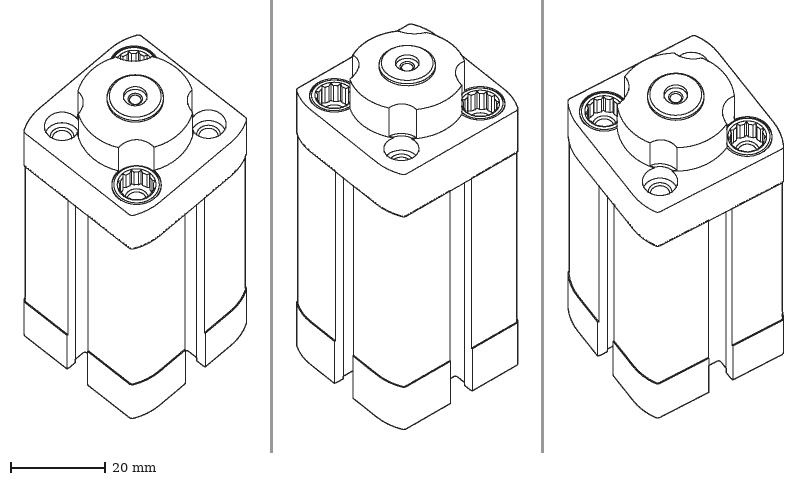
import cadquery as cq
import math

WIDTH = 35.5
TOTAL_HEIGHT = 84.0

END_CAP_HEIGHT = 12.2
CAP_TOP = 73.5
UPPER_CAP_BOTTOM = CAP_TOP - END_CAP_HEIGHT
TUBE_HEIGHT = UPPER_CAP_BOTTOM - END_CAP_HEIGHT

CORNER_ARC_START = 10.9
CORNER_ARC_RADIUS = 13.4
CORNER_FILLET = 1.0
TUBE_INSET = 0.25

GROOVE_NECK_WIDTH = 5.8
GROOVE_MOUTH_WIDTH = 6.05
GROOVE_MOUTH_DEPTH = 0.7
GROOVE_NECK_DEPTH = 2.4
GROOVE_UNDERCUT_WIDTH = 7.0
GROOVE_DEPTH = 6.0
GROOVE_FLOOR_FILLET = 0.6

BOSS_DIAMETER = 25.0
BOSS_FLAT_DIAMETER = 17.5
BOSS_TOP = 82.9
BOSS_BEVEL_HEIGHT = 1.0

HOLE_OFFSET = 11.0
HOLE_DIAMETER = 4.1
HOLE_MOUTH_DIAMETER = 5.0
PLAIN_CORNERS = [(-1, -1), (1, 1)]
SOCKET_CORNERS = [(-1, 1), (1, -1)]

COUNTERBORE_DIAMETER = 7.5
COUNTERBORE_DEPTH = 3.9
PLAIN_SCALLOP_DIAMETER = 9.0
PLAIN_SCALLOP_LEDGE = 0.25

SOCKET_RING_DIAMETER = 10.5
SOCKET_RING_BEVEL = 0.4
SOCKET_BORE_DIAMETER = 7.2
SOCKET_TIP_DIAMETER = 8.1
SOCKET_MOUTH_DIAMETER = 8.2
SOCKET_POINTS = 12
SOCKET_DEPTH = 5.0

ROD_DIAMETER = 12.0
ROD_CHAMFER = 0.5
ROD_BOTTOM = UPPER_CAP_BOTTOM
ROD_RECESS_DIAMETER = 5.0
ROD_RECESS_DEPTH = 1.0
ROD_HOLE_DIAMETER = 2.4
ROD_HOLE_MOUTH_DIAMETER = 3.0
ROD_HOLE_DEPTH = 6.7
DRILL_POINT_ANGLE = 118.0


def cylinder(diameter, bottom, top, x=0.0, y=0.0):
    """Upright cylinder between two heights."""
    return cq.Workplane("XY", origin=(x, y, bottom)).circle(diameter / 2).extrude(top - bottom)


def cone(bottom_diameter, top_diameter, bottom, top, x=0.0, y=0.0):
    """Upright truncated cone between two heights; either diameter may be zero."""
    bottom_radius = bottom_diameter / 2
    top_radius = top_diameter / 2
    solid = cq.Solid.makeCone(bottom_radius, top_radius, top - bottom, cq.Vector(x, y, bottom))
    return cq.Workplane(obj=solid)


def countersink(mouth_diameter, bore_diameter, top, x, y):
    """45 degree cone opening a bore whose mouth is at the given height."""
    depth = (mouth_diameter - bore_diameter) / 2
    return cone(bore_diameter, mouth_diameter, top - depth, top, x, y)


def body_section(inset, bottom, height):
    """Prism with flat sides and large rounded corners, drawn in by the inset."""
    half = WIDTH / 2 - inset
    radius = CORNER_ARC_RADIUS - inset
    arc_centre = half - radius
    start = CORNER_ARC_START

    def on_arc(angle):
        return arc_centre + radius * math.cos(angle), start + radius * math.sin(angle)

    end_angle = math.asin((half - start) / radius)
    middle_x, middle_y = on_arc(end_angle / 2)
    end_x, end_y = on_arc(end_angle)
    outline = (
        cq.Workplane("XY", origin=(0, 0, bottom))
        .moveTo(half, -start)
        .lineTo(half, start)
        .threePointArc((middle_x, middle_y), (end_x, end_y))
        .lineTo(-end_x, end_y)
        .threePointArc((-middle_x, middle_y), (-half, start))
        .lineTo(-half, -start)
        .threePointArc((-middle_x, -middle_y), (-end_x, -end_y))
        .lineTo(end_x, -end_y)
        .threePointArc((middle_x, -middle_y), (half, -start))
        .close()
    )
    prism = outline.extrude(height)
    return prism.edges("|Z").edges("<Y or >Y").fillet(CORNER_FILLET - inset)


def sensor_groove(angle):
    """T-shaped groove running up one side to the underside of the upper cap."""
    face = WIDTH / 2
    mouth = GROOVE_MOUTH_WIDTH / 2
    neck = GROOVE_NECK_WIDTH / 2
    undercut = GROOVE_UNDERCUT_WIDTH / 2
    floor = face - GROOVE_DEPTH
    half_profile = [
        (face, mouth),
        (face - GROOVE_MOUTH_DEPTH, neck),
        (face - GROOVE_NECK_DEPTH, neck),
        (face - GROOVE_NECK_DEPTH, undercut),
        (floor, undercut),
    ]
    mirrored_half = [(x, -y) for x, y in reversed(half_profile)]
    groove = cq.Workplane("XY").polyline(half_profile + mirrored_half).close().extrude(UPPER_CAP_BOTTOM)
    groove = groove.edges("|Z and <X").fillet(GROOVE_FLOOR_FILLET)
    return groove.rotate((0, 0, 0), (0, 0, 1), angle)


def guide_boss():
    """Round boss on the upper cap with a shallow conical top."""
    shoulder = BOSS_TOP - BOSS_BEVEL_HEIGHT
    barrel = cylinder(BOSS_DIAMETER, CAP_TOP, shoulder)
    return barrel.union(cone(BOSS_DIAMETER, BOSS_FLAT_DIAMETER, shoulder, BOSS_TOP))


def fixing_hole(x, y, seat):
    """Through hole with a countersunk mouth at the seat height."""
    hole = cylinder(HOLE_DIAMETER, 0, seat, x, y)
    return hole.union(countersink(HOLE_MOUTH_DIAMETER, HOLE_DIAMETER, seat, x, y))


def plain_corner_cut(x, y):
    """Counterbored hole and the scallop that clears it through the boss."""
    seat = CAP_TOP - COUNTERBORE_DEPTH
    scallop = cylinder(PLAIN_SCALLOP_DIAMETER, CAP_TOP + PLAIN_SCALLOP_LEDGE, BOSS_TOP, x, y)
    counterbore = cylinder(COUNTERBORE_DIAMETER, seat, BOSS_TOP, x, y)
    return scallop.union(counterbore).union(fixing_hole(x, y, seat))


def twelve_point_socket(x, y):
    """Round bore with evenly spaced 90 degree V teeth cut outward from it."""
    seat = CAP_TOP - SOCKET_DEPTH
    tip_radius = SOCKET_TIP_DIAMETER / 2
    square_side = tip_radius * math.sqrt(2)
    socket = cylinder(SOCKET_BORE_DIAMETER, seat, CAP_TOP, x, y)
    square_count = SOCKET_POINTS // 4
    for index in range(square_count):
        square = (
            cq.Workplane("XY", origin=(x, y, seat))
            .transformed(rotate=(0, 0, 45 + index * 360 / SOCKET_POINTS))
            .rect(square_side, square_side)
            .extrude(SOCKET_DEPTH)
        )
        socket = socket.union(square)
    return socket.union(countersink(SOCKET_MOUTH_DIAMETER, SOCKET_BORE_DIAMETER, CAP_TOP, x, y))


def socket_corner_cut(x, y):
    """Socketed hole, its V groove and the scallop that clears it through the boss."""
    land_diameter = SOCKET_RING_DIAMETER - 2 * SOCKET_RING_BEVEL
    groove_bottom = CAP_TOP - SOCKET_RING_BEVEL
    scallop = cylinder(SOCKET_RING_DIAMETER, CAP_TOP, BOSS_TOP, x, y)
    ring = cylinder(SOCKET_RING_DIAMETER, groove_bottom, CAP_TOP, x, y)
    ring = ring.cut(cone(SOCKET_RING_DIAMETER, land_diameter, groove_bottom, CAP_TOP, x, y))
    hole = fixing_hole(x, y, CAP_TOP - SOCKET_DEPTH)
    return scallop.union(ring).union(twelve_point_socket(x, y)).union(hole)


def build_housing():
    """Tube, both end caps and guide boss in one solid, bored for the rod."""
    body = body_section(0, 0, END_CAP_HEIGHT)
    body = body.union(body_section(TUBE_INSET, END_CAP_HEIGHT, TUBE_HEIGHT))
    body = body.union(body_section(0, UPPER_CAP_BOTTOM, END_CAP_HEIGHT))
    body = body.union(guide_boss())
    for angle in (0, 90, 180, 270):
        body = body.cut(sensor_groove(angle))
    for side_x, side_y in PLAIN_CORNERS:
        body = body.cut(plain_corner_cut(side_x * HOLE_OFFSET, side_y * HOLE_OFFSET))
    for side_x, side_y in SOCKET_CORNERS:
        body = body.cut(socket_corner_cut(side_x * HOLE_OFFSET, side_y * HOLE_OFFSET))
    return body.cut(cylinder(ROD_DIAMETER, ROD_BOTTOM, BOSS_TOP))


def build_piston_rod():
    """Chamfered rod with a recessed, drilled tip."""
    rod = cylinder(ROD_DIAMETER, ROD_BOTTOM, TOTAL_HEIGHT).faces(">Z").chamfer(ROD_CHAMFER)
    seat = TOTAL_HEIGHT - ROD_RECESS_DEPTH
    hole_bottom = seat - ROD_HOLE_DEPTH
    point_height = ROD_HOLE_DIAMETER / 2 / math.tan(math.radians(DRILL_POINT_ANGLE / 2))
    rod = rod.cut(cylinder(ROD_RECESS_DIAMETER, seat, TOTAL_HEIGHT))
    rod = rod.cut(cylinder(ROD_HOLE_DIAMETER, hole_bottom, seat))
    rod = rod.cut(cone(0, ROD_HOLE_DIAMETER, hole_bottom - point_height, hole_bottom))
    return rod.cut(countersink(ROD_HOLE_MOUTH_DIAMETER, ROD_HOLE_DIAMETER, seat, 0, 0))


housing = build_housing()
piston_rod = build_piston_rod()

result = cq.Compound.makeCompound([housing.val(), piston_rod.val()])